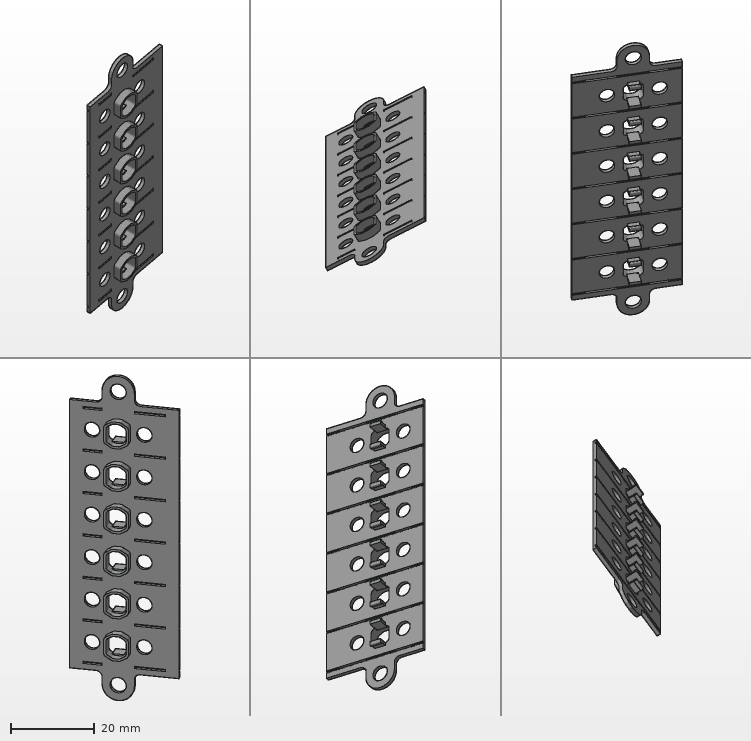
import cadquery as cq
import math

TOTAL_HEIGHT = 84.5
PLATE_THICKNESS = 1.0
PLATE_WIDTH = 27.2
PLATE_HEIGHT = 70.0
AXIS_Y = -1.5

EAR_WIDTH = 8.0
EAR_RADIUS = EAR_WIDTH / 2
EAR_HOLE_DIAMETER = 4.0
EAR_CENTRE_Z = TOTAL_HEIGHT / 2 - EAR_RADIUS
EAR_ROOT_FILLET = 1.5

CELL_COUNT = 6
CELL_PITCH = 11.1
SIDE_HOLE_DIAMETER = 3.8
SIDE_HOLE_OFFSET = 6.5

GROOVE_WIDTH = 0.5
GROOVE_DEPTH = 0.3
SLOT_END_MARGIN = 3.4

BOSS_HEIGHT = 2.0
BOSS_WIDTH = 6.2
BOSS_LENGTH = 6.9
BOSS_CHAMFER_Y = 2.1
BOSS_CHAMFER_ANGLE = 30.0
BOSS_CHAMFER_Z = BOSS_CHAMFER_Y * math.tan(math.radians(BOSS_CHAMFER_ANGLE))
SOCKET_CORNER_FILLET = 1.0
BOSS_WALL = 0.6

ARM_REACH = 2.3
ARM_WIDTH = 2.95
ARM_INNER_Z = 2.45
ARM_THICKNESS = 0.8
HOOK_LENGTH = 0.8
HOOK_DEPTH = 0.25
HOOK_FILLET = 0.3


def make_plate():
    """Flat plate with both ears and their holes; its -X face lies at X = 0."""
    ear_span = 2 * EAR_CENTRE_Z
    plate = cq.Workplane("YZ").rect(PLATE_WIDTH, PLATE_HEIGHT).extrude(PLATE_THICKNESS)
    ears = (
        cq.Workplane("YZ")
        .center(AXIS_Y, 0)
        .slot2D(ear_span + EAR_WIDTH, EAR_WIDTH, 90)
        .extrude(PLATE_THICKNESS)
    )
    plate = plate.union(ears)
    root_corners = [
        (PLATE_THICKNESS / 2, AXIS_Y + side * EAR_RADIUS, end * PLATE_HEIGHT / 2)
        for side in (-1, 1)
        for end in (-1, 1)
    ]
    for corner in root_corners:
        plate = plate.edges(cq.selectors.NearestToPointSelector(corner)).fillet(EAR_ROOT_FILLET)
    ear_holes = (
        cq.Workplane("YZ")
        .pushPoints([(AXIS_Y, -EAR_CENTRE_Z), (AXIS_Y, EAR_CENTRE_Z)])
        .circle(EAR_HOLE_DIAMETER / 2)
        .extrude(PLATE_THICKNESS)
    )
    return plate.cut(ear_holes)


def make_break_line():
    """Cutter for one break line at Z = 0: the groove and its two through slots."""
    cutter = cq.Workplane("YZ").rect(PLATE_WIDTH, GROOVE_WIDTH).extrude(GROOVE_DEPTH)
    slot_outer_y = PLATE_WIDTH / 2 - SLOT_END_MARGIN
    for side in (-1, 1):
        outer_y = side * slot_outer_y
        inner_y = AXIS_Y + side * EAR_RADIUS
        slot = (
            cq.Workplane("YZ")
            .center((outer_y + inner_y) / 2, 0)
            .rect(abs(outer_y - inner_y), GROOVE_WIDTH)
            .extrude(PLATE_THICKNESS)
        )
        cutter = cutter.union(slot)
    return cutter


def make_boss_block():
    """Solid outer shape of one socket boss: a rectangle with its four corners cut off."""
    half_y = BOSS_WIDTH / 2
    half_z = BOSS_LENGTH / 2
    shoulder_y = half_y - BOSS_CHAMFER_Y
    shoulder_z = half_z - BOSS_CHAMFER_Z
    outline = [
        (half_y, shoulder_z),
        (shoulder_y, half_z),
        (-shoulder_y, half_z),
        (-half_y, shoulder_z),
        (-half_y, -shoulder_z),
        (-shoulder_y, -half_z),
        (shoulder_y, -half_z),
        (half_y, -shoulder_z),
    ]
    base = cq.Workplane("YZ", origin=(PLATE_THICKNESS, 0, 0))
    return base.polyline(outline).close().extrude(BOSS_HEIGHT)


def make_cell_openings(boss_block):
    """Cutter for one cell: the bore, inset evenly from the boss outline, and the two side holes."""
    bore_outline = boss_block.faces("<X").wires().toPending().offset2D(-BOSS_WALL, "intersection")
    bore = bore_outline.extrude(PLATE_THICKNESS + BOSS_HEIGHT, combine=False)
    bore = bore.edges("|X").fillet(SOCKET_CORNER_FILLET)
    side_holes = (
        cq.Workplane("YZ")
        .pushPoints([(-SIDE_HOLE_OFFSET, 0), (SIDE_HOLE_OFFSET, 0)])
        .circle(SIDE_HOLE_DIAMETER / 2)
        .extrude(PLATE_THICKNESS)
    )
    return bore.translate((-PLATE_THICKNESS, 0, 0)).union(side_holes)


def make_snap_arms():
    """Mirrored pair of arms with outward hooks, rounded at the tip."""
    outer_z = ARM_INNER_Z + ARM_THICKNESS
    hook_z = outer_z + HOOK_DEPTH
    upper = (
        cq.Workplane("XZ")
        .moveTo(PLATE_THICKNESS, ARM_INNER_Z)
        .lineTo(-ARM_REACH, ARM_INNER_Z)
        .lineTo(-ARM_REACH, hook_z)
        .lineTo(HOOK_LENGTH - ARM_REACH, hook_z)
        .lineTo(HOOK_LENGTH - ARM_REACH, outer_z)
        .lineTo(PLATE_THICKNESS, outer_z)
        .close()
        .extrude(ARM_WIDTH / 2, both=True)
    )
    tip_edge = cq.selectors.NearestToPointSelector((-ARM_REACH, 0, hook_z))
    upper = upper.edges(tip_edge).fillet(HOOK_FILLET)
    return upper.union(upper.mirror("XY"))


result = make_plate()

break_line = make_break_line()
for index in range(CELL_COUNT + 1):
    line_z = (index - CELL_COUNT / 2) * CELL_PITCH
    result = result.cut(break_line.translate((0, 0, line_z)))

boss_block = make_boss_block()
boss = boss_block.edges("|X").fillet(SOCKET_CORNER_FILLET)
openings = make_cell_openings(boss_block)
snap_arms = make_snap_arms()
for index in range(CELL_COUNT):
    cell_centre = (0, AXIS_Y, (index - (CELL_COUNT - 1) / 2) * CELL_PITCH)
    result = result.union(boss.translate(cell_centre))
    result = result.cut(openings.translate(cell_centre))
    result = result.union(snap_arms.translate(cell_centre))